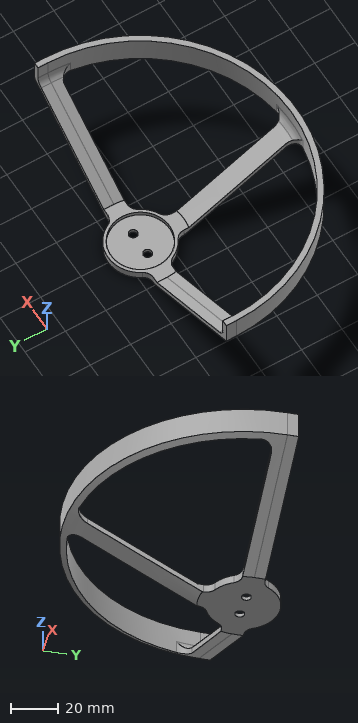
import cadquery as cq
import math

rim_radius = 77.5
rim_wall = 3.0
total_height = 44.0
rim_bottom = 32.0
rim_inner_radius = rim_radius - rim_wall
mid_wall_radius = rim_radius - rim_wall / 2

arm_width = 9.9
arm_half_width = arm_width / 2
arm_drop = 3.0
flat_radius = 19.5
corner_radius = 5.0
top_fillet_radius = 5.0

hub_radius = 16.0
hub_thickness = 4.0
seat_radius = 14.4
seat_depth = 2.0
hole_diameter = 4.0
hole_spacing = 11.6

slope = rim_bottom / (rim_radius - flat_radius)
slope_angle = math.atan(slope)


def arm_top(radius):
    """Height of the sloping upper surface at a distance from the centre."""
    return slope * (radius - flat_radius) + arm_drop


flat_top_radius = flat_radius + (hub_thickness - arm_drop) / slope


def section():
    """Radial section through hub, arm and rim, in the XZ plane."""
    fillet_middle_angle = (math.pi / 2 - slope_angle) / 2
    setback = top_fillet_radius * math.tan(fillet_middle_angle)
    fillet_start_radius = rim_inner_radius - setback * math.cos(slope_angle)
    fillet_end_height = arm_top(rim_inner_radius) + setback
    fillet_middle = (
        rim_inner_radius - top_fillet_radius + top_fillet_radius * math.cos(fillet_middle_angle),
        fillet_end_height - top_fillet_radius * math.sin(fillet_middle_angle),
    )
    return (
        cq.Workplane("XZ")
        .lineTo(flat_radius, 0)
        .lineTo(rim_radius, rim_bottom)
        .lineTo(rim_radius, total_height)
        .lineTo(rim_inner_radius, total_height)
        .lineTo(rim_inner_radius, fillet_end_height)
        .threePointArc(fillet_middle, (fillet_start_radius, arm_top(fillet_start_radius)))
        .lineTo(flat_top_radius, hub_thickness)
        .lineTo(0, hub_thickness)
        .close()
    )


def dish():
    """Conical half dish in front, continued straight behind the centre."""
    front = section().revolve(180, (0, 0), (0, -1))
    back_right = section().extrude(-hub_radius)
    back_left = back_right.mirror("YZ")
    return front.union(back_right).union(back_left)


def plan():
    """Upright prism of the outline seen from above, with rounded inner corners."""
    rim = (
        cq.Workplane("XY")
        .moveTo(-rim_radius, arm_half_width)
        .lineTo(-rim_radius, 0)
        .threePointArc((0, -rim_radius), (rim_radius, 0))
        .lineTo(rim_radius, arm_half_width)
        .lineTo(rim_inner_radius, arm_half_width)
        .lineTo(rim_inner_radius, 0)
        .threePointArc((0, -rim_inner_radius), (-rim_inner_radius, 0))
        .lineTo(-rim_inner_radius, arm_half_width)
        .close()
        .extrude(total_height)
    )
    side_arms = cq.Workplane("XY").rect(2 * mid_wall_radius, arm_width).extrude(total_height)
    front_arm = (
        cq.Workplane("XY")
        .center(0, -mid_wall_radius / 2)
        .rect(arm_width, mid_wall_radius)
        .extrude(total_height)
    )
    hub = cq.Workplane("XY").circle(hub_radius).extrude(total_height)
    outline = rim.union(side_arms).union(front_arm).union(hub).clean()
    inner_corners = outline.edges("|Z").filter(
        lambda edge: math.hypot(edge.Center().x, edge.Center().y) < mid_wall_radius
    )
    return inner_corners.fillet(corner_radius)


def hub_cuts():
    """Round seat in the hub top and the two holes through its floor."""
    seat = (
        cq.Workplane("XY", origin=(0, 0, hub_thickness - seat_depth))
        .circle(seat_radius)
        .extrude(seat_depth)
    )
    holes = (
        cq.Workplane("XY")
        .pushPoints([(-hole_spacing / 2, 0), (hole_spacing / 2, 0)])
        .circle(hole_diameter / 2)
        .extrude(hub_thickness)
    )
    return seat.union(holes)


result = dish().intersect(plan()).cut(hub_cuts())